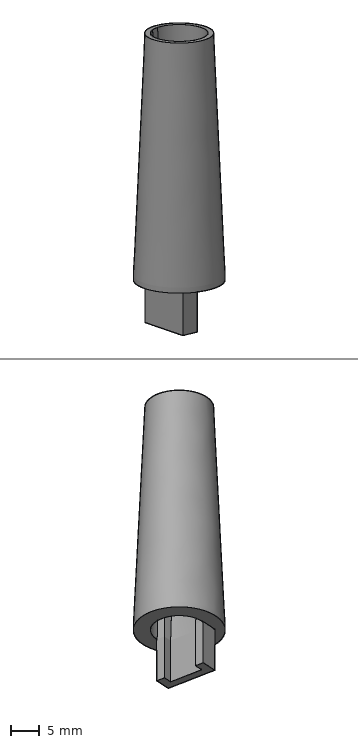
import cadquery as cq
import math

total_height = 53.2
base_radius = 8.005
rim_radius = 6.0
tongue_length = 8.3
band_height = 0.95
cone_start = tongue_length + band_height
bore_radius = 5.0

tongue_width = 10.2
tongue_back = -0.2
tongue_front = -3.5
channel_width = 6.8
channel_floor = -1.95
half_channel = channel_width / 2
channel_depth = tongue_back - channel_floor
half_chord = math.sqrt(bore_radius**2 - tongue_back**2)


def make_sleeve():
    """Revolve the solid band and cone."""
    return (
        cq.Workplane("XZ")
        .moveTo(0, tongue_length)
        .lineTo(base_radius, tongue_length)
        .lineTo(base_radius, cone_start)
        .lineTo(rim_radius, total_height)
        .lineTo(0, total_height)
        .close()
        .revolve(360, (0, 0), (0, 1))
    )


def make_tongue():
    """Solid block that hangs below the sleeve."""
    return (
        cq.Workplane("XY")
        .moveTo(-tongue_width / 2, tongue_front)
        .lineTo(tongue_width / 2, tongue_front)
        .lineTo(tongue_width / 2, tongue_back)
        .lineTo(-tongue_width / 2, tongue_back)
        .close()
        .extrude(tongue_length)
    )


def lower_opening():
    """Half disc joined to the channel mouth, at the sleeve's underside."""
    return (
        cq.Workplane("XY", origin=(0, 0, tongue_length))
        .moveTo(half_chord, tongue_back)
        .threePointArc((0, bore_radius), (-half_chord, tongue_back))
        .lineTo(-half_channel, tongue_back)
        .lineTo(-half_channel, channel_floor)
        .lineTo(half_channel, channel_floor)
        .lineTo(half_channel, tongue_back)
        .close()
    )


def rim_point(angle):
    """Point on the bore circle, with the angle in radians from +X."""
    return bore_radius * math.cos(angle), bore_radius * math.sin(angle)


def round_mouth():
    """Bore circle split into arcs that share the perimeter as the lower opening's sides do."""
    arc_length = bore_radius * (math.pi + 2 * math.asin(-tongue_back / bore_radius))
    ledge = half_chord - half_channel
    sides = [arc_length, ledge, channel_depth, channel_width, channel_depth, ledge]
    turn_per_length = 2 * math.pi / sum(sides)

    angle = math.pi / 2 - arc_length * turn_per_length / 2
    mouth = cq.Workplane("XY", origin=(0, 0, total_height)).moveTo(*rim_point(angle))
    for side in sides:
        turn = side * turn_per_length
        mouth = mouth.threePointArc(rim_point(angle + turn / 2), rim_point(angle + turn))
        angle += turn
    return mouth.close()


def make_cavity():
    """Blend the round mouth at the rim into the lower opening with straight-ruled walls."""
    sections = [lower_opening().wires().val(), round_mouth().wires().val()]
    return cq.Workplane(cq.Solid.makeLoft(sections, True))


def make_channel():
    """Straight groove along the full length of the tongue."""
    return (
        cq.Workplane("XY")
        .center(0, channel_floor + channel_depth / 2)
        .rect(channel_width, channel_depth)
        .extrude(tongue_length)
    )


result = make_sleeve().union(make_tongue()).cut(make_cavity()).cut(make_channel())